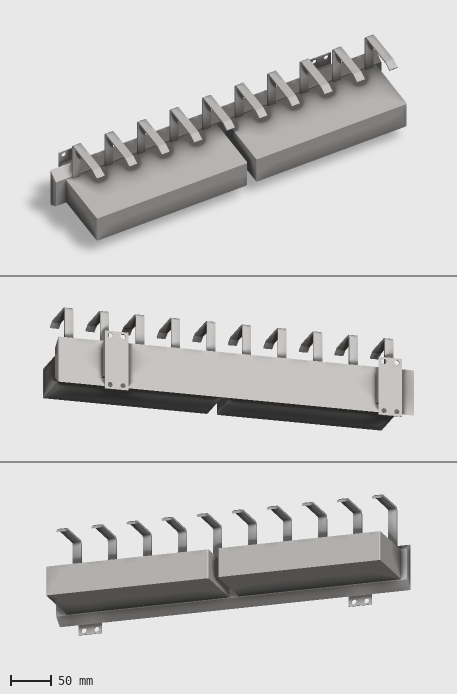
import cadquery as cq
import math

total_depth = 110.0
total_height = 113.0
rail_length = 458.5

plate_thickness = 1.5
plate_width = 30.3
plate_height = 75.5
spacer_height = 38.5
plate_starts = (19.5, 372.8)
hole_diameter = 6.5
hole_side_inset = 7.0
hole_end_inset = 5.5

mid_height = plate_height / 2
rail_back = 15.0
rail_front = 29.5
rail_back_height = 59.0
rail_front_height = 40.5

box_bottom = 19.0
box_height = 37.5
box_length = 212.5
box_starts = (14.0, 239.0)
box_corner_radius = 2.0

hook_count = 10
hook_pitch = 46.0
first_hook_center = 28.0
hook_width = 11.0
strip_thickness = 2.8
bend_radius = 5.5
tip_bend_x = 83.5
tip_bend_radius = 3.5
tip_length = 10.5
tip_angle = math.radians(25)

box_top = box_bottom + box_height


def block(x_start, x_end, y_start, width, z_start, height):
    """Rectangular block placed by its lowest corner."""
    size_x = x_end - x_start
    return cq.Workplane("XY").box(size_x, width, height, centered=False).translate((x_start, y_start, z_start))


def make_rail():
    half_back = rail_back_height / 2
    half_front = rail_front_height / 2
    section = [
        (rail_back, mid_height - half_back),
        (rail_front, mid_height - half_front),
        (rail_front, mid_height + half_front),
        (rail_back, mid_height + half_back),
    ]
    return cq.Workplane("XZ").polyline(section).close().extrude(-rail_length)


def make_bracket(y_start):
    """Drilled wall plate with the spacer block that carries the rail."""
    hole_spacing_y = plate_width - 2 * hole_side_inset
    hole_spacing_z = plate_height - 2 * hole_end_inset
    plate = (
        block(0, plate_thickness, y_start, plate_width, 0, plate_height)
        .faces("<X")
        .workplane(centerOption="CenterOfBoundBox")
        .rarray(hole_spacing_y, hole_spacing_z, 2, 2)
        .hole(hole_diameter)
    )
    spacer_bottom = mid_height - spacer_height / 2
    spacer = block(plate_thickness, rail_back, y_start, plate_width, spacer_bottom, spacer_height)
    return plate.union(spacer)


def make_box(y_start):
    """Box with its two outer upright edges rounded."""
    box = block(rail_front, total_depth, y_start, box_length, box_bottom, box_height)
    return box.edges("|Z and >X").fillet(box_corner_radius)


def polar_point(center, radius, angle):
    """Point at an angle, in radians, measured from +X towards +Z."""
    center_x, center_z = center
    return (center_x + radius * math.cos(angle), center_z + radius * math.sin(angle))


def make_hook(y_center):
    """Upright strip, bent forward at the top and sloping down at its tip."""
    inner_radius = bend_radius - strip_thickness
    inner_tip_radius = tip_bend_radius - strip_thickness
    upright_inner = rail_front + strip_thickness
    arm_bottom = total_height - strip_thickness
    bend_center = (rail_front + bend_radius, total_height - bend_radius)
    bend_x, bend_z = bend_center
    tip_bend_center = (tip_bend_x, total_height - tip_bend_radius)

    bend_middle = math.radians(135)
    straight_up = math.radians(90)
    tip_bend_middle = straight_up - tip_angle / 2
    tip_normal = straight_up - tip_angle

    tip_bend_end = polar_point(tip_bend_center, tip_bend_radius, tip_normal)
    inner_tip_bend_end = polar_point(tip_bend_center, inner_tip_radius, tip_normal)
    tip_end = polar_point(tip_bend_end, tip_length, -tip_angle)
    inner_tip_end = polar_point(inner_tip_bend_end, tip_length, -tip_angle)

    return (
        cq.Workplane("XZ", origin=(0, y_center, 0))
        .moveTo(rail_front, box_top)
        .lineTo(rail_front, bend_z)
        .threePointArc(polar_point(bend_center, bend_radius, bend_middle), (bend_x, total_height))
        .lineTo(tip_bend_x, total_height)
        .threePointArc(polar_point(tip_bend_center, tip_bend_radius, tip_bend_middle), tip_bend_end)
        .lineTo(*tip_end)
        .lineTo(*inner_tip_end)
        .lineTo(*inner_tip_bend_end)
        .threePointArc(
            polar_point(tip_bend_center, inner_tip_radius, tip_bend_middle),
            (tip_bend_x, arm_bottom),
        )
        .lineTo(bend_x, arm_bottom)
        .threePointArc(polar_point(bend_center, inner_radius, bend_middle), (upright_inner, bend_z))
        .lineTo(upright_inner, box_top)
        .close()
        .extrude(hook_width / 2, both=True)
    )


result = make_rail()
for y_start in plate_starts:
    result = result.union(make_bracket(y_start))

for y_start in box_starts:
    result = result.union(make_box(y_start))

for index in range(hook_count):
    result = result.union(make_hook(first_hook_center + index * hook_pitch))